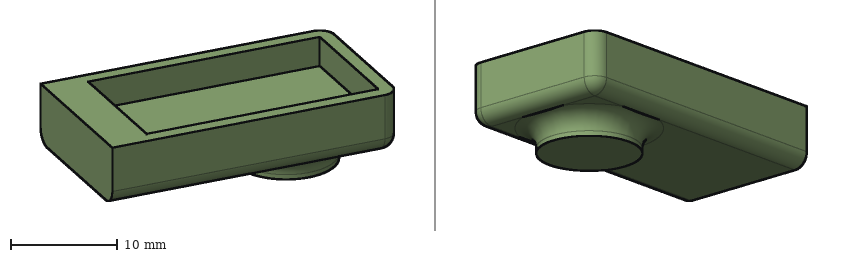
import cadquery as cq

length = 29.75
width = 16.0
total_height = 8.5
foot_height = 2.5
body_height = total_height - foot_height
edge_radius = 1.5

wall = 1.5
pocket_length = 24.0
pocket_depth = 3.0

foot_radius = 10.0 / 2
foot_rim_height = 0.5
flare_radius = foot_height - foot_rim_height
foot_back_gap = 3.0
foot_y = length / 2 - foot_back_gap - foot_radius


def make_body():
    block = cq.Workplane("XY").box(width, length, body_height, centered=(True, True, False))
    block = block.edges("|Z and >Y").fillet(edge_radius)
    return block.faces("<Z").edges("not(<Y)").fillet(edge_radius)


def make_pocket():
    pocket_y = length / 2 - wall - pocket_length / 2
    return (
        cq.Workplane("XY", origin=(0, pocket_y, body_height - pocket_depth))
        .rect(width - 2 * wall, pocket_length)
        .extrude(pocket_depth)
    )


def make_foot():
    """Revolve the flared profile and trim it to the flat part of the underside."""
    flare_outer = foot_radius + flare_radius
    profile = (
        cq.Workplane("XZ", origin=(0, foot_y, 0))
        .moveTo(0, -foot_height)
        .lineTo(foot_radius, -foot_height)
        .lineTo(foot_radius, -flare_radius)
        .radiusArc((flare_outer, 0), flare_radius)
        .lineTo(0, 0)
        .close()
    )
    foot = profile.revolve(360, (0, 0, 0), (0, 1, 0))
    flat_area = (
        cq.Workplane("XY", origin=(0, -edge_radius / 2, 0))
        .rect(width - 2 * edge_radius, length - edge_radius)
        .extrude(-foot_height)
    )
    return foot.intersect(flat_area)


result = make_body().union(make_foot()).cut(make_pocket())